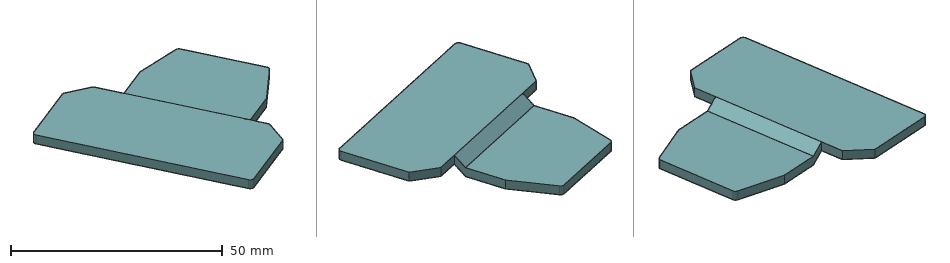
import cadquery as cq

width = 56.0
length = 52.0
height = 5.0
thickness = height / 2

plate_length = 25.0
plate_chamfer_x = 5.6
plate_chamfer_y = 5.4
corner_radius = 1.0

tongue_width = 32.15
tip_width = 23.35
taper_length = 13.05
ramp_length = 3.1

ramp_start = plate_length + ramp_length


def make_plate():
    """Upper plate with chamfered rear corners and rounded front corners."""
    half = width / 2
    shoulder = half - plate_chamfer_x
    side_end = plate_length - plate_chamfer_y
    outline = [
        (-half, 0),
        (half, 0),
        (half, side_end),
        (shoulder, plate_length),
        (-shoulder, plate_length),
        (-half, side_end),
    ]
    base = cq.Workplane("XY").workplane(offset=thickness)
    plate = base.polyline(outline).close().extrude(thickness)
    return plate.edges("|Z and <Y").fillet(corner_radius)


def make_ramp():
    """Sloping web that joins the plate to the tongue."""
    profile = [
        (plate_length, height),
        (plate_length, thickness),
        (ramp_start, 0),
        (ramp_start, thickness),
    ]
    return cq.Workplane("YZ").polyline(profile).close().extrude(tongue_width / 2, both=True)


def make_tongue():
    """Lower tongue that tapers to a rounded tip."""
    half = tongue_width / 2
    half_tip = tip_width / 2
    taper_start = length - taper_length
    outline = [
        (-half, ramp_start),
        (half, ramp_start),
        (half, taper_start),
        (half_tip, length),
        (-half_tip, length),
        (-half, taper_start),
    ]
    tongue = cq.Workplane("XY").polyline(outline).close().extrude(thickness)
    return tongue.edges("|Z and >Y").fillet(corner_radius)


result = make_plate().union(make_ramp()).union(make_tongue())